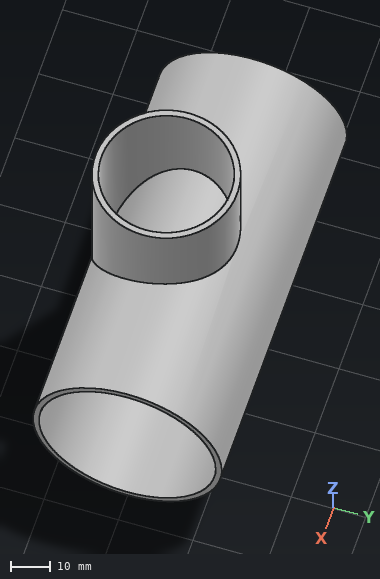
import cadquery as cq

wall = 1.65
run_diameter = 50.8
run_length = 104.78

branch_diameter = 38.1
branch_rise = 48.39
branch_offset = (run_diameter - branch_diameter) / 2


def run_cylinder(diameter):
    """Cylinder along X over the full length of the main pipe."""
    return cq.Workplane("YZ").circle(diameter / 2).extrude(run_length / 2, both=True)


def branch_cylinder(diameter):
    """Cylinder from the main pipe axis up to the end of the branch."""
    return cq.Workplane("XY").center(0, -branch_offset).circle(diameter / 2).extrude(branch_rise)


outer_body = run_cylinder(run_diameter).union(branch_cylinder(branch_diameter))

run_bore = run_cylinder(run_diameter - 2 * wall)
branch_bore = branch_cylinder(branch_diameter - 2 * wall)

result = outer_body.cut(run_bore).cut(branch_bore)